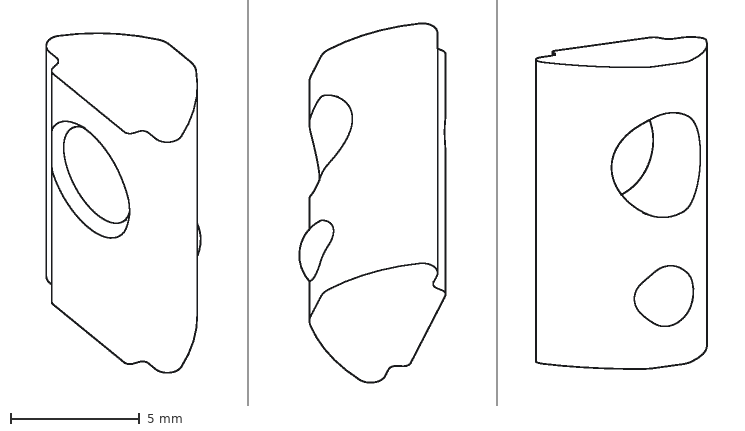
import cadquery as cq
import math

length = 12.0
body_depth = 4.6

neck_width = 5.0
neck_draft = 15.0
neck_depth = 0.7
neck_radius = 0.3

flank_radius = 7.56
flank_center_x = -2.92
flank_center_y = -1.92
wing_radius = 0.6
crest_radius = 1.0

hole_diameter = 4.14
countersink_diameter = 5.0
countersink_angle = 90.0
hole_height = 8.0

ball_radius = 1.5
ball_protrusion = 0.6
ball_height = 2.8


def flank_x(y):
    """X of the right flank arc at depth y."""
    return flank_center_x + math.sqrt(flank_radius**2 - (y - flank_center_y) ** 2)


def make_body():
    """Symmetric section with rounded corners, extruded to full length."""
    draft_offset = neck_depth / 2 * math.tan(math.radians(neck_draft))
    half_neck_front = neck_width / 2 - draft_offset
    half_neck_root = neck_width / 2 + draft_offset
    half_wing = flank_x(neck_depth)
    half_crest = flank_x(body_depth)
    middle_y = (neck_depth + body_depth) / 2
    half_middle = flank_x(middle_y)

    body = (
        cq.Workplane("XY")
        .moveTo(-half_neck_front, 0)
        .lineTo(half_neck_front, 0)
        .lineTo(half_neck_root, neck_depth)
        .lineTo(half_wing, neck_depth)
        .threePointArc((half_middle, middle_y), (half_crest, body_depth))
        .lineTo(-half_crest, body_depth)
        .threePointArc((-half_middle, middle_y), (-half_wing, neck_depth))
        .lineTo(-half_neck_root, neck_depth)
        .close()
        .extrude(length)
    )
    corners = (
        (half_neck_front, 0, neck_radius),
        (half_neck_root, neck_depth, neck_radius),
        (half_wing, neck_depth, wing_radius),
        (half_crest, body_depth, crest_radius),
    )
    for x, y, radius in corners:
        for side in (-1, 1):
            edge = cq.selectors.NearestToPointSelector((side * x, y, length / 2))
            body = body.edges(edge).fillet(radius)
    return body


def cut_hole(body):
    """Countersunk hole through the body along Y."""
    return (
        body.faces("<Y")
        .workplane(origin=(0, 0, hole_height))
        .cskHole(hole_diameter, countersink_diameter, countersink_angle)
    )


def make_ball():
    """Ball protruding from the back face."""
    center_y = body_depth + ball_protrusion - ball_radius
    return cq.Workplane("XY").sphere(ball_radius).translate((0, center_y, ball_height))


result = cut_hole(make_body()).union(make_ball())